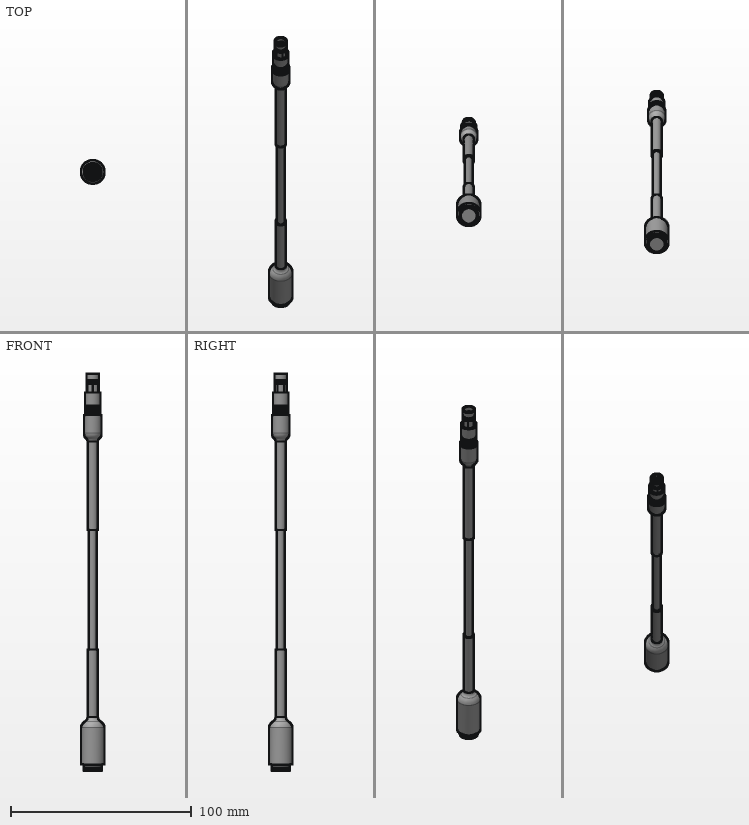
import cadquery as cq
import math

TOTAL_LENGTH = 219.9
SOCKET_TOP = 30.1
LOWER_SLEEVE_TOP = 67.3
UPPER_SLEEVE_BOTTOM = 133.5
PLUG_BOTTOM = 182.5

CABLE_DIA = 4.45
SLEEVE_DIA = 5.8

SOCKET_DIA = 13.21
SHOULDER_DIA = 8.84
SHOULDER_Z = 27.5
BARREL_TOP = 24.2
SHOULDER_BULGE = 0.4
NECK_BULGE = 0.4
BARREL_BOTTOM = 3.75
SPIGOT_DIA = 10.0
SPIGOT_GROOVE_DIA = 8.84
COLLAR_HEIGHT = 0.7
COLLAR_DIA = 10.3
SPIGOT_GROOVE_TOP = 1.7
SPIGOT_GROOVE_BOTTOM = 0.6
SPIGOT_CHAMFER = 0.45

BACKSHELL_DIA = 9.9
BACKSHELL_TOP = 197.0
BACKSHELL_BOTTOM = 187.1
THROAT_DIA = 8.13
THROAT_Z = 184.4
GRIP_DIA = 8.84
GRIP_TOP = 209.6
GRIP_GROOVE_TOP = 202.3
GRIP_GROOVE_COUNT = 4
GRIP_GROOVE_PITCH = 1.3
GRIP_GROOVE_WIDTH = 0.65
GRIP_GROOVE_DEPTH = 0.13
NOSE_DIA = 6.96
NOSE_GROOVE_TOP = 216.3
NOSE_GROOVE_COUNT = 2
NOSE_GROOVE_PITCH = 1.3
NOSE_GROOVE_WIDTH = 0.65
NOSE_GROOVE_DEPTH = 0.1

LATCH_WIDTH = 3.4
LATCH_DEPTH = 0.13
KEYWAY_WIDTH = 0.51
KEYWAY_DEPTH = 0.3

BORE_DIA = 5.46
BORE_DEPTH = 5.0
PIN_DIA = 0.79
PIN_ROOT = 0.5
PIN_RECESS = 2.6
PIN_CIRCLE_DIA = 3.53
PIN_COUNT = 8


def cylinder(diameter, bottom, top):
    return cq.Workplane("XY").workplane(offset=bottom).circle(diameter / 2).extrude(top - bottom)


def ring_groove(outer_dia, depth, bottom, width):
    """Ring of material to cut from a cylinder of the given diameter."""
    blank = cylinder(outer_dia + 2 * depth, bottom, bottom + width)
    return blank.cut(cylinder(outer_dia - 2 * depth, bottom, bottom + width))


def arc_middle(start, end, bulge):
    """Point beside the middle of a rising chord; a positive bulge moves it away from the axis."""
    run = end[0] - start[0]
    rise = end[1] - start[1]
    length = math.hypot(run, rise)
    side = bulge / length
    return ((start[0] + end[0]) / 2 + side * rise, (start[1] + end[1]) / 2 - side * run)


def make_cable():
    """Thin cable with a thicker sleeve at each end."""
    cable = cylinder(CABLE_DIA, SOCKET_TOP, PLUG_BOTTOM)
    lower_sleeve = cylinder(SLEEVE_DIA, SOCKET_TOP, LOWER_SLEEVE_TOP)
    upper_sleeve = cylinder(SLEEVE_DIA, UPPER_SLEEVE_BOTTOM, PLUG_BOTTOM)
    return cable.union(lower_sleeve).union(upper_sleeve)


def make_socket():
    """Barrel with a flared neck above, then a thin collar and a grooved spigot below."""
    spigot_r = SPIGOT_DIA / 2
    groove_r = SPIGOT_GROOVE_DIA / 2
    collar_r = COLLAR_DIA / 2
    collar_z = BARREL_BOTTOM - COLLAR_HEIGHT
    barrel_r = SOCKET_DIA / 2
    barrel_top = (barrel_r, BARREL_TOP)
    shoulder = (SHOULDER_DIA / 2, SHOULDER_Z)
    neck = (SLEEVE_DIA / 2, SOCKET_TOP)
    return (
        cq.Workplane("XZ")
        .moveTo(0, 0)
        .lineTo(spigot_r - SPIGOT_CHAMFER, 0)
        .lineTo(spigot_r, SPIGOT_CHAMFER)
        .lineTo(spigot_r, SPIGOT_GROOVE_BOTTOM)
        .lineTo(groove_r, SPIGOT_GROOVE_BOTTOM)
        .lineTo(groove_r, SPIGOT_GROOVE_TOP)
        .lineTo(spigot_r, SPIGOT_GROOVE_TOP)
        .lineTo(spigot_r, collar_z)
        .lineTo(collar_r, collar_z)
        .lineTo(collar_r, BARREL_BOTTOM)
        .lineTo(barrel_r, BARREL_BOTTOM)
        .lineTo(*barrel_top)
        .threePointArc(arc_middle(barrel_top, shoulder, SHOULDER_BULGE), shoulder)
        .threePointArc(arc_middle(shoulder, neck, -NECK_BULGE), neck)
        .lineTo(0, SOCKET_TOP)
        .close()
        .revolve(360, (0, 0, 0), (0, 1, 0))
    )


def make_plug_blank():
    """Turned outside of the plug, from the cable end up to the nose."""
    neck = (SLEEVE_DIA / 2, PLUG_BOTTOM)
    throat = (THROAT_DIA / 2, THROAT_Z)
    backshell_r = BACKSHELL_DIA / 2
    backshell_bottom = (backshell_r, BACKSHELL_BOTTOM)
    grip_r = GRIP_DIA / 2
    nose_r = NOSE_DIA / 2
    return (
        cq.Workplane("XZ")
        .moveTo(0, PLUG_BOTTOM)
        .lineTo(*neck)
        .spline([neck, throat, backshell_bottom], tangents=[(0, 1), (0, 1)])
        .lineTo(backshell_r, BACKSHELL_TOP)
        .lineTo(grip_r, BACKSHELL_TOP)
        .lineTo(grip_r, GRIP_TOP)
        .lineTo(nose_r, GRIP_TOP)
        .lineTo(nose_r, TOTAL_LENGTH)
        .lineTo(0, TOTAL_LENGTH)
        .close()
        .revolve(360, (0, 0, 0), (0, 1, 0))
    )


def cut_grip_grooves(plug):
    for number in range(GRIP_GROOVE_COUNT):
        bottom = GRIP_GROOVE_TOP - GRIP_GROOVE_WIDTH - number * GRIP_GROOVE_PITCH
        plug = plug.cut(ring_groove(GRIP_DIA, GRIP_GROOVE_DEPTH, bottom, GRIP_GROOVE_WIDTH))
    return plug


def cut_nose_details(plug):
    """Ring grooves, shallow latch recesses and keyways on the outside of the nose."""
    for number in range(NOSE_GROOVE_COUNT):
        groove_bottom = NOSE_GROOVE_TOP - NOSE_GROOVE_WIDTH - number * NOSE_GROOVE_PITCH
        plug = plug.cut(ring_groove(NOSE_DIA, NOSE_GROOVE_DEPTH, groove_bottom, NOSE_GROOVE_WIDTH))
    height = groove_bottom - GRIP_TOP
    latch = ring_groove(NOSE_DIA, LATCH_DEPTH, GRIP_TOP, height)
    band = cq.Workplane("XY").box(2 * NOSE_DIA, LATCH_WIDTH, height, centered=(True, True, False))
    plug = plug.cut(latch.intersect(band.translate((0, 0, GRIP_TOP))))
    keyway = ring_groove(NOSE_DIA, KEYWAY_DEPTH, GRIP_TOP, height)
    band = cq.Workplane("XY").box(KEYWAY_WIDTH, 2 * NOSE_DIA, height, centered=(True, True, False))
    return plug.cut(keyway.intersect(band.translate((0, 0, GRIP_TOP))))


def add_contacts(plug):
    """Bore in the nose with a centre pin and a circle of pins standing on its floor."""
    floor = TOTAL_LENGTH - BORE_DEPTH
    plug = plug.cut(cylinder(BORE_DIA, floor, TOTAL_LENGTH))
    pin = cylinder(PIN_DIA, floor - PIN_ROOT, TOTAL_LENGTH - PIN_RECESS)
    plug = plug.union(pin)
    for number in range(PIN_COUNT):
        angle = 2 * math.pi * (number + 0.5) / PIN_COUNT
        radius = PIN_CIRCLE_DIA / 2
        plug = plug.union(pin.translate((radius * math.cos(angle), radius * math.sin(angle), 0)))
    return plug


cable = make_cable()
socket = make_socket()
plug = add_contacts(cut_nose_details(cut_grip_grooves(make_plug_blank())))

result = cq.Compound.makeCompound([cable.val(), socket.val(), plug.val()])